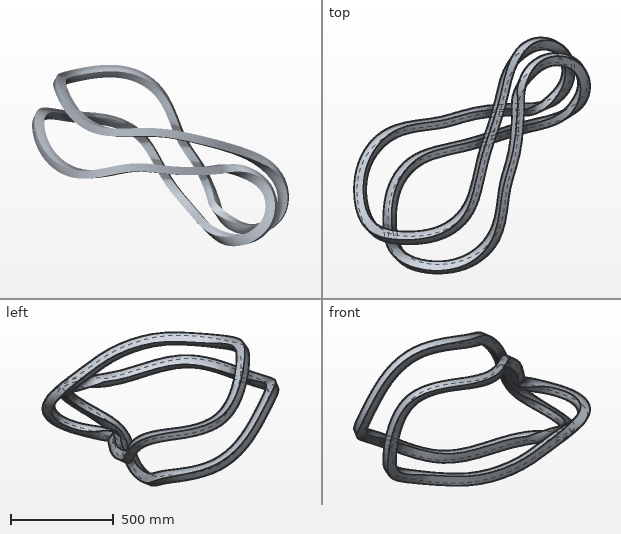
import cadquery as cq


bar_width = 39.0
bar_thickness = 49.0
sections = 96
half_turn = 180
symmetry_axis_end = (1, 1, 0)

centreline_points = [
    (261.0, 224.0, -143.0),
    (125.0, 220.0, -176.0),
    (-8.0, 200.0, -216.0),
    (-146.0, 162.0, -232.0),
    (-285.0, 141.0, -206.0),
    (-417.0, 93.0, -159.0),
    (-509.0, -11.0, -129.0),
    (-545.0, -156.0, -106.0),
    (-524.0, -288.0, -48.0),
    (-470.0, -363.0, 57.0),
    (-388.0, -395.0, 179.0),
    (-274.0, -400.0, 271.0),
    (-139.0, -369.0, 314.0),
    (-29.0, -277.0, 330.0),
    (23.0, -148.0, 341.0),
    (55.0, -10.0, 341.0),
    (98.0, 124.0, 313.0),
    (139.0, 262.0, 249.0),
    (168.0, 379.0, 165.0),
    (221.0, 482.0, 91.0),
    (324.0, 544.0, 20.0),
    (438.0, 502.0, -53.0),
    (463.0, 369.0, -102.0),
    (384.0, 265.0, -123.0),
]


def closed_curve(points):
    vectors = [cq.Vector(*point) for point in points]
    return cq.Edge.makeSpline(vectors, periodic=True)


def corner_curves(centreline):
    """The four long edges of a bar whose outer face looks away from the centroid of its loop."""
    fractions = [i / sections for i in range(sections)]
    centres = centreline.positions(fractions)
    tangents = [tangent.normalized() for tangent in centreline.tangents(fractions)]
    centroid = sum(centres, cq.Vector()) / sections
    corner_signs = [(1, 1), (-1, 1), (-1, -1), (1, -1)]
    corners = [[] for _ in corner_signs]
    for centre, tangent in zip(centres, tangents):
        outward = centre - centroid
        outward = (outward - tangent * outward.dot(tangent)).normalized()
        across = tangent.cross(outward)
        for corner, (out_sign, across_sign) in zip(corners, corner_signs):
            out_offset = outward * (out_sign * bar_thickness / 2)
            across_offset = across * (across_sign * bar_width / 2)
            corner.append((centre + out_offset + across_offset).toTuple())
    return [closed_curve(corner) for corner in corners]


def make_coil():
    """A solid closed bar, bounded by a ruled face between each pair of neighbouring long edges."""
    edges = corner_curves(closed_curve(centreline_points))
    next_edges = edges[1:] + edges[:1]
    faces = [cq.Face.makeRuledSurface(edge, next_edge) for edge, next_edge in zip(edges, next_edges)]
    return cq.Solid.makeSolid(cq.Shell.makeShell(faces))


coils = []
for turn in (0, half_turn):
    coils.append(make_coil().rotate((0, 0, 0), symmetry_axis_end, turn))

result = cq.Compound.makeCompound(coils)